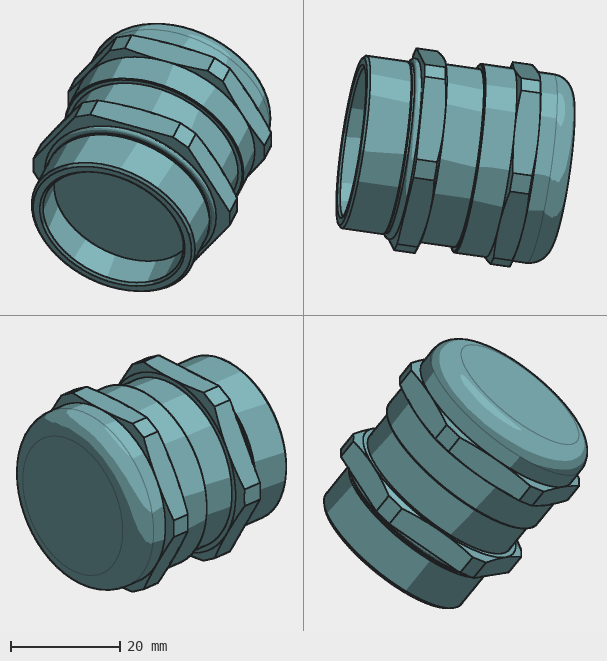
import cadquery as cq
import math

thread_end = 8.35
seal_start = 8.75
body_hex_start = 10.0
body_hex_end = 14.5
nut_start = 21.5
nut_hex_start = 27.5
nut_hex_end = 32.0
dome_start = 35.0
overall_length = 39.0

across_flats = 35.0
hexagon_half_angle = 30.0
corner_trim = 1.0
body_hex_angle = 20.0
nut_hex_angle = 15.0

thread_diameter = 32.0
seal_diameter = 33.5
neck_diameter = 33.0
nut_diameter = across_flats

thread_chamfer = 0.5
thread_end_chamfer = 0.25
relief_diameter = thread_diameter - 2 * thread_end_chamfer
nut_chamfer = 0.2

bore_diameter = 27.5
bore_depth = 6.25
bore_chamfer = 0.45


def cylinder(diameter, start, end):
    """Cylinder on the Y axis between two stations."""
    plane = cq.Workplane("XZ", origin=(0, start, 0))
    return plane.circle(diameter / 2).extrude(start - end)


def revolve_about_axis(profile):
    """Full turn of a half profile about the Y axis."""
    return profile.revolve(360, (0, 0, 0), (0, 1, 0))


def trimmed_hexagon(start, end):
    """Hexagonal prism with flats facing +Z and -Z and its corners cut off flat."""
    corner_diameter = across_flats / math.cos(math.radians(hexagon_half_angle))
    base_plane = cq.Workplane("XZ", origin=(0, start, 0))
    hexagon = base_plane.polygon(6, corner_diameter).extrude(start - end)
    trim_flats = corner_diameter - 2 * corner_trim
    trim_corners = trim_flats / math.cos(math.radians(hexagon_half_angle))
    trim_plane = base_plane.transformed(rotate=(0, 0, hexagon_half_angle))
    trim = trim_plane.polygon(6, trim_corners).extrude(start - end)
    return hexagon.intersect(trim)


def bevel_cone(face, inward, angle):
    """Solid that keeps what lies inside a cone leaving the hexagon's inscribed circle on one face."""
    inner_radius = across_flats / 2
    outer_radius = across_flats
    depth = (outer_radius - inner_radius) * math.tan(math.radians(angle))
    profile = (
        cq.Workplane("XY")
        .moveTo(0, face)
        .lineTo(inner_radius, face)
        .lineTo(outer_radius, face + inward * depth)
        .lineTo(outer_radius, face + inward * overall_length)
        .lineTo(0, face + inward * overall_length)
        .close()
    )
    return revolve_about_axis(profile)


def threaded_end():
    thread = cylinder(thread_diameter, 0, thread_end)
    thread = thread.faces("<Y").chamfer(thread_chamfer)
    thread = thread.faces(">Y").chamfer(thread_end_chamfer)
    return thread.union(cylinder(relief_diameter, thread_chamfer, body_hex_start))


def seal_ring():
    """Sealing ring with a half-round rim, against the body hexagon."""
    rim_radius = (body_hex_start - seal_start) / 2
    shoulder = seal_diameter / 2 - rim_radius
    profile = (
        cq.Workplane("XY")
        .moveTo(0, seal_start)
        .lineTo(shoulder, seal_start)
        .threePointArc((seal_diameter / 2, seal_start + rim_radius), (shoulder, body_hex_start))
        .lineTo(0, body_hex_start)
        .close()
    )
    return revolve_about_axis(profile)


def body_hexagon():
    hexagon = trimmed_hexagon(body_hex_start, body_hex_end)
    return hexagon.intersect(bevel_cone(body_hex_end, -1, body_hex_angle))


def domed_nut():
    nut = cylinder(nut_diameter, nut_start, overall_length)
    nut = nut.faces("<Y").chamfer(nut_chamfer)
    return nut.faces(">Y").edges().fillet(overall_length - dome_start)


def nut_hexagon():
    hexagon = trimmed_hexagon(nut_hex_start, nut_hex_end)
    hexagon = hexagon.intersect(bevel_cone(nut_hex_end, -1, nut_hex_angle))
    return hexagon.intersect(bevel_cone(nut_hex_start, 1, nut_hex_angle))


def bore():
    """Blind bore with a chamfered mouth."""
    radius = bore_diameter / 2
    profile = (
        cq.Workplane("XY")
        .lineTo(radius + bore_chamfer, 0)
        .lineTo(radius, bore_chamfer)
        .lineTo(radius, bore_depth)
        .lineTo(0, bore_depth)
        .close()
    )
    return revolve_about_axis(profile)


neck = cylinder(neck_diameter, body_hex_end, nut_start)
result = threaded_end().union(seal_ring()).union(body_hexagon()).union(neck)
result = result.union(domed_nut()).union(nut_hexagon()).cut(bore())